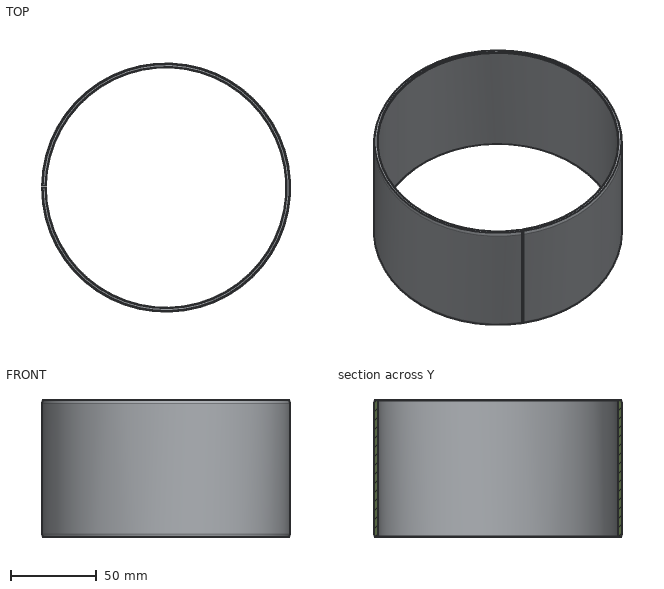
import cadquery as cq

outer_diameter = 145.0
height = 80.0
wall = 2.5
outer_chamfer_length = 1.9
outer_chamfer_depth = 0.6
inner_chamfer = 0.5
slit_width = 1.0

outer_radius = outer_diameter / 2
inner_radius = outer_radius - wall
half_height = height / 2


def make_sleeve():
    """Revolve the chamfered wall section around Z, centred on the origin."""
    outer_edge = half_height - outer_chamfer_length
    inner_edge = half_height - inner_chamfer
    end_outer_radius = outer_radius - outer_chamfer_depth
    end_inner_radius = inner_radius + inner_chamfer
    section = [
        (-inner_radius, -inner_edge),
        (-end_inner_radius, -half_height),
        (-end_outer_radius, -half_height),
        (-outer_radius, -outer_edge),
        (-outer_radius, outer_edge),
        (-end_outer_radius, half_height),
        (-end_inner_radius, half_height),
        (-inner_radius, inner_edge),
    ]
    return cq.Workplane("XZ").polyline(section).close().revolve(360, (0, 0, 0), (0, 1, 0))


def make_slit():
    """Full-height cutter on the -X side, with one face on the XZ plane."""
    cutter = cq.Workplane("XY").box(outer_radius, slit_width, height, centered=(False, False, True))
    return cutter.translate((-outer_radius, 0, 0))


result = make_sleeve().cut(make_slit())